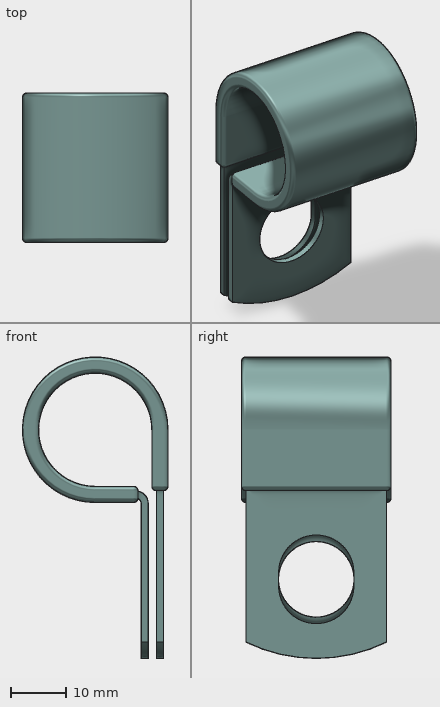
import cadquery as cq
import math

height = 54.35
loop_diameter = 26.25
strap_thickness = 1.3
cover = 0.8
edge_radius = 0.8
cushion_width = 26.95
straight_leg = 11.0
flat_leg = 7.7
bend_inner_radius = 1.0
front_tab_x = 9.55
hole_diameter = 13.6
hole_z = -26.95
slot_travel = 2.4
tab_end_rise = 2.95

loop_radius = loop_diameter / 2
cushion_thickness = strap_thickness + 2 * cover
strap_width = cushion_width - 2 * cover
strap_outer_radius = loop_radius - cover
bottom_z = loop_radius - height


def loop_band(outer, thickness, leg_end_z, flat_end_x):
    """Three-quarter loop with one downward leg and one sideways leg, as an XZ profile."""
    inner = outer - thickness
    outer_mid = outer * math.sqrt(0.5)
    inner_mid = inner * math.sqrt(0.5)
    return (
        cq.Workplane("XZ")
        .moveTo(outer, leg_end_z)
        .lineTo(outer, 0)
        .threePointArc((-outer_mid, outer_mid), (0, -outer))
        .lineTo(flat_end_x, -outer)
        .lineTo(flat_end_x, -inner)
        .lineTo(0, -inner)
        .threePointArc((-inner_mid, inner_mid), (inner, 0))
        .lineTo(inner, leg_end_z)
        .close()
    )


def make_cushion():
    body = loop_band(loop_radius, cushion_thickness, -straight_leg, flat_leg)
    body = body.extrude(cushion_width / 2, both=True)
    mid_radius = loop_radius - cushion_thickness / 2
    rims = body.faces("|Y").edges()
    leg_end = body.faces(cq.NearestToPointSelector((mid_radius, 0, -straight_leg))).edges("|Y")
    flat_end = body.faces(cq.NearestToPointSelector((flat_leg, 0, -mid_radius))).edges("|Y")
    return rims.add(leg_end).add(flat_end).fillet(edge_radius)


def make_strap():
    bend_outer_radius = bend_inner_radius + strap_thickness
    bend_x = front_tab_x - bend_outer_radius
    bend_z = -(strap_outer_radius + bend_inner_radius)
    diagonal = math.sqrt(0.5)

    band = loop_band(strap_outer_radius, strap_thickness, bottom_z, bend_x)
    band = band.extrude(strap_width / 2, both=True)
    tab = (
        cq.Workplane("XZ")
        .moveTo(bend_x, bend_z + bend_outer_radius)
        .threePointArc(
            (bend_x + bend_outer_radius * diagonal, bend_z + bend_outer_radius * diagonal),
            (front_tab_x, bend_z),
        )
        .lineTo(front_tab_x, bottom_z)
        .lineTo(front_tab_x - strap_thickness, bottom_z)
        .lineTo(front_tab_x - strap_thickness, bend_z)
        .threePointArc(
            (bend_x + bend_inner_radius * diagonal, bend_z + bend_inner_radius * diagonal),
            (bend_x, bend_z + bend_inner_radius),
        )
        .close()
        .extrude(strap_width / 2, both=True)
    )
    outline = (
        cq.Workplane("YZ")
        .moveTo(-strap_width / 2, loop_radius)
        .lineTo(-strap_width / 2, bottom_z + tab_end_rise)
        .threePointArc((0, bottom_z), (strap_width / 2, bottom_z + tab_end_rise))
        .lineTo(strap_width / 2, loop_radius)
        .close()
        .extrude(loop_radius, both=True)
    )
    round_hole = (
        cq.Workplane("YZ")
        .center(0, hole_z)
        .circle(hole_diameter / 2)
        .extrude(front_tab_x)
    )
    slot = (
        cq.Workplane("YZ", origin=(front_tab_x, 0, 0))
        .center(0, hole_z)
        .slot2D(hole_diameter + slot_travel, hole_diameter, 90)
        .extrude(loop_radius - front_tab_x)
    )
    return band.union(tab).intersect(outline).cut(round_hole).cut(slot)


result = make_cushion().union(make_strap())